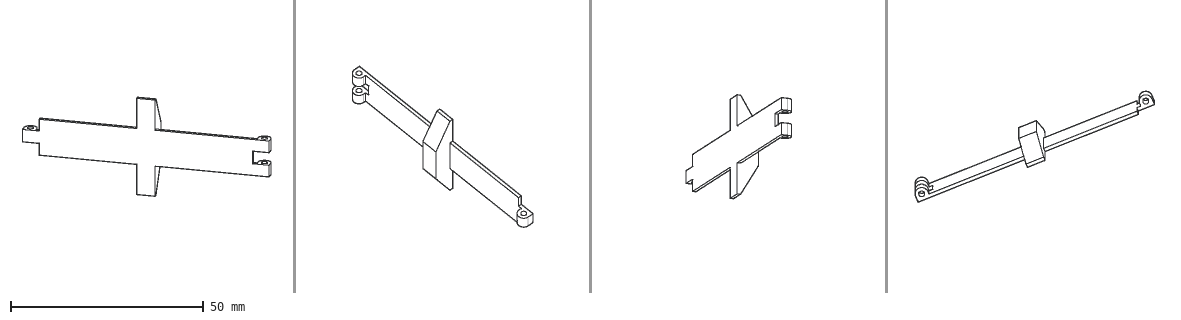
import cadquery as cq

length = 66.5
keel_height = 26.65
keel_depth = 6.0
keel_width = 5.0
keel_crest_height = 10.45

plate_thickness = 1.0
plate_height = 10.0

hinge_reach = 4.5
tongue_height = 3.45
knuckle_diameter = 3.45
pin_hole_diameter = 1.5

knuckle_radius = knuckle_diameter / 2
pin_x = length / 2 - knuckle_radius
pin_y = knuckle_radius


def centred_block(x_start, x_end, depth, height):
    """Block standing on the flat face, centred on Z."""
    return cq.Workplane("XY").box(
        x_end - x_start, depth, height, centered=(False, False, True)
    ).translate((x_start, 0, 0))


def make_knuckle(x, height):
    """Round-topped knuckle, centred on Z and standing on the flat face."""
    base = centred_block(x - knuckle_radius, x + knuckle_radius, pin_y, height)
    barrel = (
        cq.Workplane("XY", origin=(x, pin_y, -height / 2))
        .circle(knuckle_radius)
        .extrude(height)
    )
    return base.union(barrel)


def make_pin_hole(x):
    """Cutter for a hinge pin hole running along Z."""
    return (
        cq.Workplane("XY", origin=(x, pin_y, -plate_height / 2))
        .circle(pin_hole_diameter / 2)
        .extrude(plate_height)
    )


def make_keel():
    """Tapered cross rib: a YZ trapezoid extruded across its width."""
    return (
        cq.Workplane("YZ")
        .polyline([
            (0, -keel_height / 2),
            (plate_thickness, -keel_height / 2),
            (keel_depth, -keel_crest_height / 2),
            (keel_depth, keel_crest_height / 2),
            (plate_thickness, keel_height / 2),
            (0, keel_height / 2),
        ])
        .close()
        .extrude(keel_width / 2, both=True)
    )


tongue_root = -length / 2 + hinge_reach
plate = centred_block(tongue_root, length / 2, plate_thickness, plate_height)
tongue = centred_block(-length / 2, tongue_root, plate_thickness, tongue_height)
tongue = tongue.union(make_knuckle(-pin_x, tongue_height))

fork = plate.union(make_knuckle(pin_x, plate_height))
slot = centred_block(length / 2 - hinge_reach, length / 2, knuckle_diameter, tongue_height)
fork = fork.cut(slot)

result = fork.union(tongue).union(make_keel())
for hole_x in (-pin_x, pin_x):
    result = result.cut(make_pin_hole(hole_x))